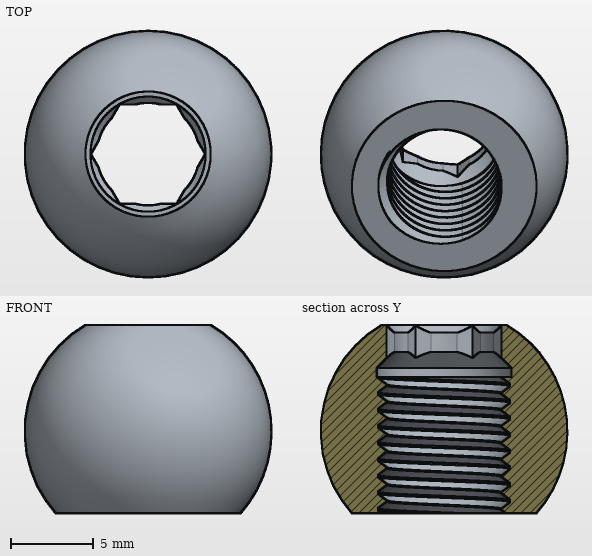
import cadquery as cq
import math

ball_radius = 7.5
top_z = 6.46
bottom_z = -4.98

hex_across_flats = 6.0
hex_across_corners = hex_across_flats / math.cos(math.radians(30))
bore_radius = 3.1
mouth_radius = 3.5
mouth_depth = 0.48
socket_depth = 1.65

thread_pitch = 1.0
minor_radius = 3.46
major_radius = 4.0
crest_width = 0.07
root_width = thread_pitch / 8
bore_overlap = 0.01
thread_start_angle = -4.0

relief_radius = 4.08
relief_wall_height = 0.54
relief_roof_z = top_z - socket_depth
relief_wall_z = relief_roof_z - (relief_radius - bore_radius)
relief_floor_z = relief_wall_z - relief_wall_height


def turned_ball():
    """Ball with its whole round bore, revolved about Z."""
    top_face_radius = math.sqrt(ball_radius**2 - top_z**2)
    bottom_face_radius = math.sqrt(ball_radius**2 - bottom_z**2)
    return (
        cq.Workplane("XZ")
        .moveTo(minor_radius, bottom_z)
        .lineTo(bottom_face_radius, bottom_z)
        .threePointArc((ball_radius, 0), (top_face_radius, top_z))
        .lineTo(mouth_radius, top_z)
        .lineTo(bore_radius, top_z - mouth_depth)
        .lineTo(bore_radius, relief_roof_z)
        .lineTo(relief_radius, relief_wall_z)
        .lineTo(relief_radius, relief_floor_z)
        .lineTo(minor_radius, relief_floor_z)
        .close()
        .revolve(360, (0, 0), (0, 1))
    )


def hex_socket():
    """Hexagonal prism, ending where its corners meet the conical relief roof."""
    corner_radius = hex_across_corners / 2
    roof_end_z = relief_roof_z - (corner_radius - bore_radius)
    return (
        cq.Workplane("XY")
        .workplane(offset=roof_end_z)
        .polygon(6, hex_across_corners)
        .extrude(top_z - roof_end_z)
    )


def thread_turn(start_z):
    """One turn of the helical V groove, rising from start_z."""
    flank_slope = (thread_pitch - crest_width - root_width) / 2 / (major_radius - minor_radius)
    root_half = root_width / 2
    inner_radius = minor_radius - bore_overlap
    mouth_half = root_half + flank_slope * (major_radius - inner_radius)
    profile = [
        (inner_radius, -mouth_half),
        (major_radius, -root_half),
        (major_radius, root_half),
        (inner_radius, mouth_half),
    ]
    edges = []
    for radius, offset in profile:
        center = cq.Vector(0, 0, start_z + offset)
        helix = cq.Wire.makeHelix(thread_pitch, thread_pitch, radius, center=center)
        edges.append(helix.Edges()[0])
    faces = [cq.Face.makeRuledSurface(edges[i - 1], edges[i]) for i in range(len(edges))]
    for end in (0, 1):
        corners = [edge.positionAt(end) for edge in edges]
        faces.append(cq.Face.makeFromWires(cq.Wire.makePolygon(corners, close=True)))
    turn = cq.Solid.makeSolid(cq.Shell.makeShell(faces))
    return cq.Workplane(turn).rotate((0, 0, 0), (0, 0, 1), thread_start_angle)


thread_end_z = relief_floor_z + thread_pitch / 2
turn_count = math.ceil((thread_end_z - bottom_z) / thread_pitch) + 1

result = turned_ball()
for turn_index in range(1, turn_count + 1):
    result = result.cut(thread_turn(thread_end_z - turn_index * thread_pitch))
result = result.cut(hex_socket())